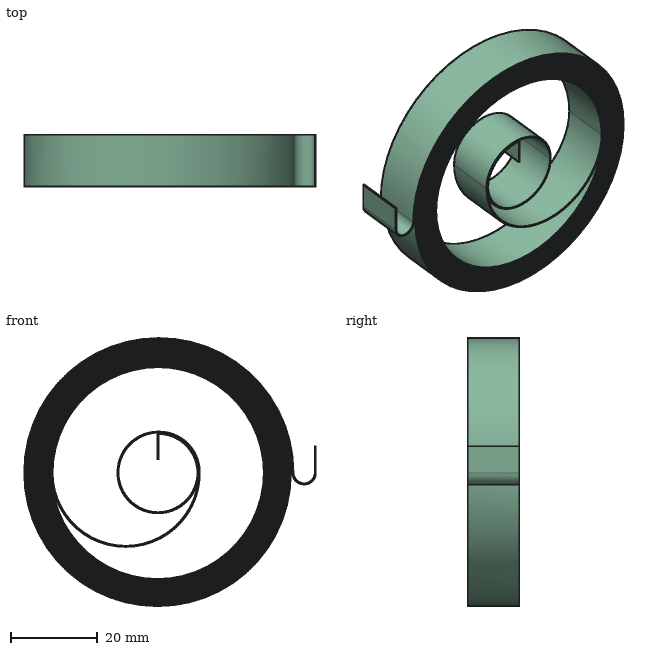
import cadquery as cq
import math


length = 67.3
height = 61.85

strip_width = 12.0
strip_thickness = 0.3
contact_gap = 0.015
contact_pitch = strip_thickness + contact_gap

core_radius = 9.2
core_growth = contact_pitch / 2
tab_length = 6.05

coil_turns = 12
coil_pitch = 0.6
coil_growth = coil_pitch / 2
coil_offset = 0.2
coil_end_radius = (height + coil_growth - strip_thickness) / 2
coil_start_radius = coil_end_radius - (coil_turns - 1) * coil_pitch

hook_radius = (length - strip_thickness) / 2 - coil_end_radius
hook_straight = 6.1


def half_turns(start_x, radius, start_angle, count, growth):
    """Tangent clockwise half turns that begin at start_x on the X axis."""
    arcs = []
    for _ in range(count):
        toward_center = 1 if start_angle == 180 else -1
        center_x = start_x + toward_center * radius
        arcs.append((center_x, radius, start_angle, start_angle - 180))
        start_x = center_x + toward_center * radius
        start_angle = 180 - start_angle
        radius += growth
    return arcs


def core_arcs():
    """Quarter turn beside the tab, then one full turn around it."""
    quarter_radius = core_radius - core_growth
    quarter = (core_growth, quarter_radius, 90, 0)
    return [quarter] + half_turns(core_radius, core_radius, 0, 2, core_growth)


def coil_arcs():
    """Wide half turn leading out from the core, then the coil itself."""
    core_right = core_radius + contact_pitch
    coil_right = coil_offset + coil_start_radius

    second_turn_left = coil_offset - coil_start_radius - coil_pitch
    coil_left = second_turn_left + contact_pitch

    lead_out = half_turns(core_right, (core_right - coil_left) / 2, 0, 1, 0)
    first = half_turns(coil_left, (coil_right - coil_left) / 2, 180, 1, 0)
    second_radius = coil_start_radius + coil_growth
    rest = half_turns(coil_right, second_radius, 0, 2 * coil_turns - 2, coil_growth)
    return lead_out + first + rest


def hook_arcs():
    """Half turn that curls the other way, counterclockwise."""
    center_x = coil_offset + coil_end_radius + hook_radius
    return [(center_x, hook_radius, 180, 360)]


def add_left_edge(outline, center_x, radius, start_angle, end_angle):
    """Continue the outline along the strip edge to the left of the direction of travel."""
    side = 1 if end_angle < start_angle else -1
    edge_radius = radius + side * strip_thickness / 2

    def edge_point(angle):
        turn = math.radians(angle)
        return (center_x + edge_radius * math.cos(turn), edge_radius * math.sin(turn))

    return outline.threePointArc(edge_point((start_angle + end_angle) / 2), edge_point(end_angle))


arcs = core_arcs() + coil_arcs() + hook_arcs()

tab_right, first_radius = arcs[0][:2]
tab_left = tab_right - strip_thickness
tab_top = first_radius + strip_thickness / 2
tab_bottom = tab_top - tab_length
outline = cq.Workplane("XZ").moveTo(tab_left, tab_bottom)
outline = outline.lineTo(tab_left, tab_top).lineTo(tab_right, tab_top)

for center_x, radius, start_angle, end_angle in arcs:
    outline = add_left_edge(outline, center_x, radius, start_angle, end_angle)

outline = outline.line(0, hook_straight).line(strip_thickness, 0).line(0, -hook_straight)

for center_x, radius, start_angle, end_angle in reversed(arcs):
    outline = add_left_edge(outline, center_x, radius, end_angle, start_angle)
outline = outline.lineTo(tab_right, tab_bottom).close()

result = outline.extrude(strip_width / 2, both=True)